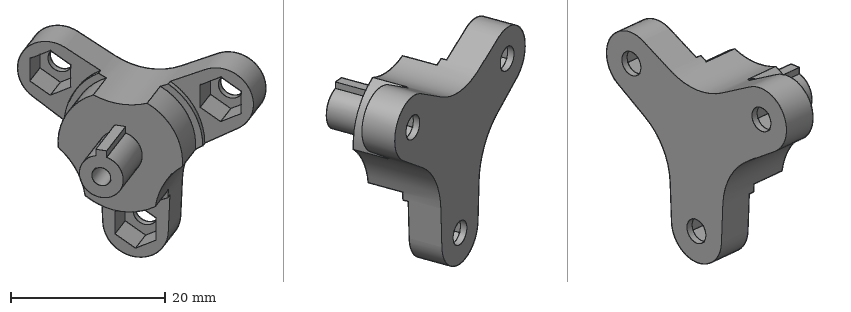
import cadquery as cq
import math

overall_width = 32.38
arm_count = 3
arm_end_radius = 4.5
waist_distance = 7.0
waist_radius = 9.88

arm_thickness = 5.0
step_radius = 9.52
step_front = 5.8
hub_radius = 8.55
hub_front = 11.0
shaft_radius = 3.0
shaft_front = 18.5

key_width = 1.5
key_top = 3.85
bore_diameter = 2.6
bore_depth = shaft_front - hub_front

screw_hole_diameter = 3.4
nut_across_flats = 5.6
nut_pocket_depth = 4.0

arm_pitch = 360.0 / arm_count
arm_reach = (overall_width / 2 - arm_end_radius) / math.cos(math.radians(30))
arm_angles = [-90 + i * arm_pitch for i in range(arm_count)]


def polar(radius, angle, center=(0, 0)):
    a = math.radians(angle)
    return (center[0] + radius * math.cos(a), center[1] + radius * math.sin(a))


def front_plane(distance):
    """XZ plane at the given distance in front of the back face."""
    return cq.Workplane("XZ", origin=(0, -distance, 0))


def disc(radius, length):
    return front_plane(0).circle(radius).extrude(length)


def star(length):
    """Rounded arms joined to concave waists by common tangent lines."""
    waist_center_distance = waist_distance + waist_radius
    half_pitch = arm_pitch / 2
    waist_center = polar(waist_center_distance, half_pitch)
    dx = waist_center[0] - arm_reach
    dy = waist_center[1]
    line_of_centers = math.degrees(math.atan2(dy, dx))
    spread = math.degrees(math.acos((arm_end_radius + waist_radius) / math.hypot(dx, dy)))
    normal = line_of_centers - spread

    def arm_start(angle):
        return polar(arm_end_radius, angle - normal, polar(arm_reach, angle))

    outline = front_plane(0).moveTo(*arm_start(arm_angles[0]))
    for angle in arm_angles:
        arm_tip = polar(arm_reach + arm_end_radius, angle)
        arm_finish = polar(arm_end_radius, angle + normal, polar(arm_reach, angle))
        center = polar(waist_center_distance, angle + half_pitch)
        waist_start = polar(waist_radius, angle + normal + 180, center)
        waist_middle = polar(waist_distance, angle + half_pitch)
        next_angle = angle + arm_pitch
        waist_finish = polar(waist_radius, next_angle - normal + 180, center)
        outline = outline.threePointArc(arm_tip, arm_finish).lineTo(*waist_start)
        outline = outline.threePointArc(waist_middle, waist_finish)
        if angle != arm_angles[-1]:
            outline = outline.lineTo(*arm_start(next_angle))
    return outline.close().extrude(length)


stepped_hub = disc(step_radius, step_front).union(disc(hub_radius, hub_front))
body = star(arm_thickness).union(stepped_hub.intersect(star(hub_front)))

shaft = disc(shaft_radius, shaft_front)
key = (
    front_plane(hub_front)
    .center(0, key_top / 2)
    .rect(key_width, key_top)
    .extrude(shaft_front - hub_front)
)
body = body.union(shaft).union(key)

bore = front_plane(shaft_front).circle(bore_diameter / 2).extrude(-bore_depth)
body = body.cut(bore)

arm_centers = [polar(arm_reach, angle) for angle in arm_angles]
screw_holes = (
    front_plane(0).pushPoints(arm_centers).circle(screw_hole_diameter / 2).extrude(arm_thickness)
)
nut_corner_radius = nut_across_flats / 2 / math.cos(math.radians(30))
nut_corners = [polar(nut_corner_radius, 30 + 60 * i) for i in range(6)]
for x, z in arm_centers:
    pocket = (
        front_plane(arm_thickness).center(x, z).polyline(nut_corners).close().extrude(-nut_pocket_depth)
    )
    body = body.cut(pocket)

result = body.cut(screw_holes)